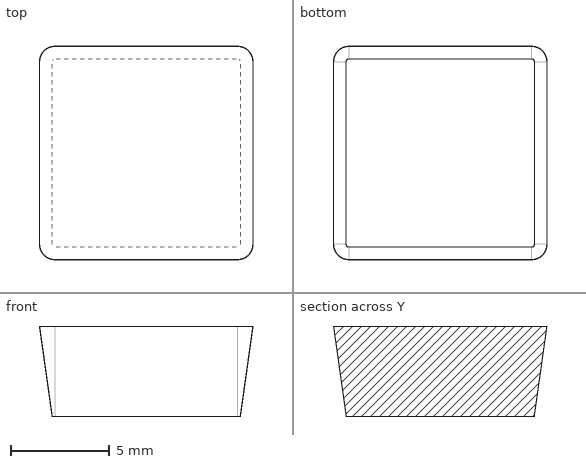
import cadquery as cq
import math

top_side = 10.89
thickness = 4.6
corner_radius = 0.8
clearance_angle = 8.0

flank_inset = thickness * math.tan(math.radians(clearance_angle))
bottom_side = top_side - 2 * flank_inset
bottom_corner_radius = corner_radius - flank_inset


def rounded_square(side, radius):
    return cq.Sketch().rect(side, side).vertices().fillet(radius)


result = (
    cq.Workplane("XY")
    .placeSketch(
        rounded_square(bottom_side, bottom_corner_radius),
        rounded_square(top_side, corner_radius).moved(cq.Location(cq.Vector(0, 0, thickness))),
    )
    .loft(ruled=True)
)